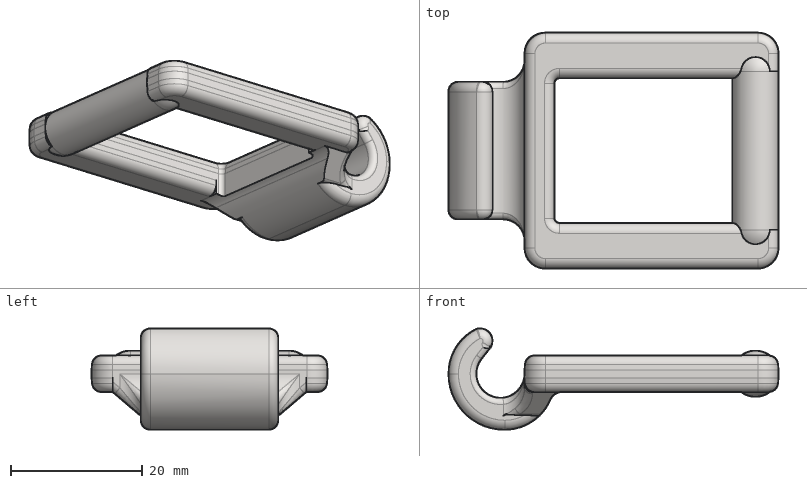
import cadquery as cq
import math

frame_length = 38.75
frame_width = 36.0
frame_thickness = 5.6
frame_corner_radius = 3.2
opening_start = 4.6
opening_width = 22.0
opening_corner_radius = 0.7
side_draft = 5.0
side_band_height = 1.2
frame_edge_radius = 1.5

bar_radius = 3.54
bar_straight_length = 24.2
bar_axis_x = frame_length - bar_radius

overall_length = 50.34
hook_width = 21.0
hook_inner_radius = 3.65
hook_outer_radius = 8.56
hook_end_radius = 7.62
hook_lip_angle = 142.0
hook_lip_length = 2.3
hook_tip_angle = 116.0
hook_tip_middle = (-5.45, 6.4)
hook_root_radius = 1.9
hook_outer_edge_radius = 1.5
hook_inner_edge_radius = 1.0

flare_radius = 3.2
flare_foot_half_width = 14.75
flare_foot_z = -frame_thickness / 2
flare_lower_z = -6.4
flare_edge_radius = 1.2

half_thickness = frame_thickness / 2


def rounded_block(start_x, end_x, width, corner_radius, height, taper=0):
    """Rounded rectangle centred on Y, raised from the mid plane."""
    outline = cq.Sketch().rect(end_x - start_x, width).vertices().fillet(corner_radius)
    base = cq.Workplane("XY").center((start_x + end_x) / 2, 0)
    return base.placeSketch(outline).extrude(height, taper=taper)


def frame_layer(height, draft):
    """Slice of the frame ring, narrowing upwards on its outside and inside."""
    ring = rounded_block(0, frame_length, frame_width, frame_corner_radius, height, draft)
    opening = rounded_block(
        opening_start, bar_axis_x, opening_width, opening_corner_radius, height, -draft
    )
    return ring.cut(opening)


def make_frame():
    half_band = side_band_height / 2
    drafted = frame_layer(half_thickness - half_band, side_draft)
    drafted = drafted.faces(">Z").edges().fillet(frame_edge_radius)
    half = frame_layer(half_band, 0).union(drafted.translate((0, 0, half_band)))
    return half.union(half.mirror("XY"))


def make_bar():
    half_length = bar_straight_length / 2
    bar = cq.Workplane("XZ").center(bar_axis_x, 0).circle(bar_radius).extrude(half_length, both=True)
    for side in (-1, 1):
        ball = cq.Workplane("XY").sphere(bar_radius).translate((bar_axis_x, side * half_length, 0))
        bar = bar.union(ball)
    return bar


def polar(center, radius, angle):
    turn = math.radians(angle)
    return (center[0] + radius * math.cos(turn), center[1] + radius * math.sin(turn))


def hook_profile(half_width):
    """Side outline of the hook, extruded to both sides of the middle."""
    throat = (-hook_inner_radius, 0)
    back_x = frame_length - overall_length
    outer = (back_x + hook_outer_radius, 0)
    upper = (back_x + hook_end_radius, 0)
    lower = (outer[0], hook_end_radius - hook_outer_radius)

    root_z = -half_thickness - hook_root_radius
    root_reach = hook_end_radius + hook_root_radius
    root_angle = math.degrees(math.asin((root_z - lower[1]) / root_reach))
    root = polar(lower, root_reach, root_angle)

    lip_start = polar(throat, hook_inner_radius, hook_lip_angle)
    lip_end = polar(lip_start, hook_lip_length, hook_lip_angle - 90)
    tip_start = polar(upper, hook_end_radius, hook_tip_angle)
    top_z = side_band_height / 2
    throat_middle = (hook_lip_angle - 360) / 2

    outline = (
        cq.Workplane("XZ")
        .moveTo(0, top_z)
        .lineTo(0, 0)
        .threePointArc(polar(throat, hook_inner_radius, throat_middle), lip_start)
        .lineTo(*lip_end)
        .threePointArc(hook_tip_middle, tip_start)
        .threePointArc(polar(upper, hook_end_radius, (hook_tip_angle + 180) / 2), (back_x, 0))
        .threePointArc(polar(outer, hook_outer_radius, 225), (outer[0], -hook_outer_radius))
        .threePointArc(
            polar(lower, hook_end_radius, (root_angle - 90) / 2),
            polar(lower, hook_end_radius, root_angle),
        )
        .threePointArc(
            polar(root, hook_root_radius, (root_angle + 180 + 90) / 2),
            (root[0], -half_thickness),
        )
        .lineTo(root[0], top_z)
        .close()
    )
    return outline.extrude(half_width, both=True)


def select_box(x_range, z_range):
    """Selector for edges on either side of the hook, by their centres."""
    return cq.selectors.BoxSelector(
        (x_range[0], -frame_width / 2, z_range[0]), (x_range[1], frame_width / 2, z_range[1])
    )


def make_hook():
    """Constant-width hook, rounded along the side edges of its back and tip."""
    hook = hook_profile(hook_width / 2)

    def is_on_back(edge):
        center = edge.Center()
        distance_from_throat = math.hypot(center.x + hook_inner_radius, center.z)
        return distance_from_throat > 1.5 * hook_inner_radius and center.x < opening_start / 2

    return hook.faces("<Y or >Y").edges().filter(is_on_back).fillet(hook_outer_edge_radius)


def make_flares():
    half_width = hook_width / 2
    flare_start_x = -flare_radius
    far_x = 2 * opening_start
    arc_drop = flare_radius * math.sqrt(0.5)
    side_end = half_width + flare_radius
    plan = (
        cq.Workplane("XY")
        .moveTo(flare_start_x, 0)
        .lineTo(flare_start_x, half_width)
        .threePointArc((flare_start_x + arc_drop, side_end - arc_drop), (0, side_end))
        .lineTo(0, flare_foot_half_width)
        .lineTo(far_x, flare_foot_half_width)
        .lineTo(far_x, 0)
        .close()
        .extrude(hook_outer_radius, both=True)
    )
    wedge = (
        cq.Workplane("YZ")
        .moveTo(0, side_band_height / 2)
        .lineTo(flare_foot_half_width, side_band_height / 2)
        .lineTo(flare_foot_half_width, flare_foot_z)
        .lineTo(half_width, flare_lower_z)
        .lineTo(0, flare_lower_z)
        .close()
        .extrude(far_x, both=True)
    )
    flare = hook_profile(flare_foot_half_width).intersect(plan).intersect(wedge)
    flares = flare.union(flare.mirror("XZ"))
    under_edges = select_box((flare_start_x / 2, 0), (flare_lower_z, -hook_inner_radius))
    return flares.edges(under_edges).edges("not |Y").fillet(flare_edge_radius)


def round_throat_edges(hook):
    """Round the side edges of the throat and the straight lip, out onto the flares."""
    along_throat = select_box(
        (-2 * hook_inner_radius, -flare_radius / 4), (-hook_inner_radius, 0.8 * hook_inner_radius)
    )
    return hook.edges(along_throat).edges("not |Y").fillet(hook_inner_edge_radius)


def hook_clearance():
    """Straight prism that keeps the hook out of the narrowest part of the opening."""
    prism = rounded_block(
        opening_start, bar_axis_x, opening_width, opening_corner_radius, -hook_outer_radius
    )
    return prism.translate((0, 0, side_band_height / 2))


def bar_gap():
    """Block removed from the ring so that the bar alone closes its far side."""
    return cq.Workplane("XY").box(
        2 * bar_radius, bar_straight_length, 2 * bar_radius
    ).translate((frame_length, 0, 0))


def make_part():
    hook = round_throat_edges(make_hook().union(make_flares())).cut(hook_clearance())
    frame = make_frame().cut(bar_gap())
    return frame.union(hook).union(make_bar())


result = make_part()